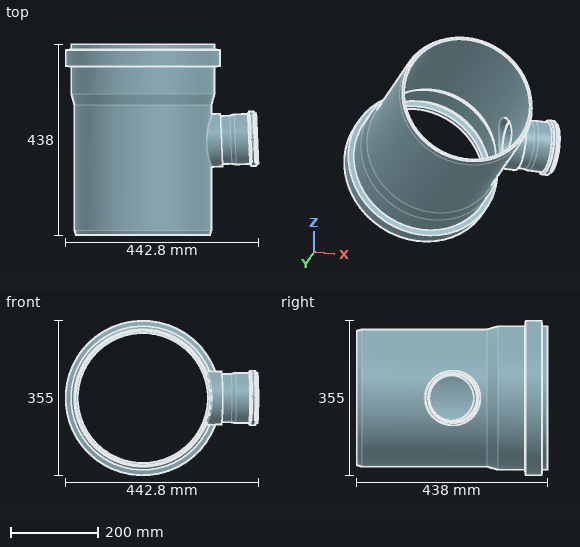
import cadquery as cq

PIPE_LENGTH = 438.0
PIPE_OUTER_R = 315.5 / 2
PIPE_BORE_R = 298.0 / 2
SPIGOT_TIP_R = 154.0
SPIGOT_CHAMFER_LENGTH = 11.5
TAPER_START = 298.5
TAPER_END = 324.3
SOCKET_OUTER_R = 329.5 / 2
SOCKET_BORE_R = 316.0 / 2
BEAD_OUTER_R = 355.0 / 2
BEAD_GROOVE_R = 341 / 2
BEAD_START = 386.0
BEAD_END = 426.0
BEAD_WALL = 4.5
BEAD_SLOPE = 1.8

BRANCH_TILT = 2.5
BRANCH_Y = 210.0
SADDLE_FILLET = 1.8
COLLAR_R = 122.0 / 2
NECK_R = 111.0 / 2
BRANCH_BORE_R = 103.5 / 2
BRANCH_SOCKET_R = 115.5 / 2
BRANCH_SOCKET_BORE_R = 110.0 / 2
BRANCH_BEAD_R = 126.0 / 2
BRANCH_GROOVE_R = 121.0 / 2

COLLAR_END = 180.7
BRANCH_TAPER_START = 201.5
BRANCH_TAPER_END = 211.5
BRANCH_BEAD_START = 243.0
BRANCH_BEAD_END = 260.5
BRANCH_END = 263.0
PLUG_START = 159.5
BRANCH_BEAD_WALL = 2.0
BRANCH_BEAD_SLOPE = 3.0


def revolve_y(points):
    """Solid of revolution about Y from (radius, Y) points."""
    return cq.Workplane("XY").polyline(points).close().revolve(360, (0, 0), (0, 1))


def place_on_branch(shape):
    """Turn a shape built along Y onto the tilted branch axis."""
    turned = shape.rotate((0, 0, 0), (0, 0, 1), BRANCH_TILT - 90)
    return turned.translate((0, BRANCH_Y, 0))


def bead(radius, base_radius, start, end, slope):
    """Profile points of a raised bead with sloping flanks."""
    return [
        (base_radius, start),
        (radius, start + slope),
        (radius, end - slope),
        (base_radius, end),
    ]


def pipe_outside():
    return revolve_y([
        (0, 0),
        (SPIGOT_TIP_R, 0),
        (PIPE_OUTER_R, SPIGOT_CHAMFER_LENGTH),
        (PIPE_OUTER_R, TAPER_START),
        (SOCKET_OUTER_R, TAPER_END),
        *bead(BEAD_OUTER_R, SOCKET_OUTER_R, BEAD_START, BEAD_END, BEAD_SLOPE),
        (SOCKET_OUTER_R, PIPE_LENGTH),
        (0, PIPE_LENGTH),
    ])


def pipe_inside():
    return revolve_y([
        (0, 0),
        (PIPE_BORE_R, 0),
        (PIPE_BORE_R, TAPER_START),
        (SOCKET_BORE_R, TAPER_END),
        *bead(BEAD_GROOVE_R, SOCKET_BORE_R, BEAD_START + BEAD_WALL, BEAD_END - BEAD_WALL, BEAD_SLOPE),
        (SOCKET_BORE_R, PIPE_LENGTH),
        (0, PIPE_LENGTH),
    ])


def branch_outside():
    return place_on_branch(revolve_y([
        (0, PLUG_START),
        (NECK_R, PLUG_START),
        (NECK_R, BRANCH_TAPER_START),
        (BRANCH_SOCKET_R, BRANCH_TAPER_END),
        *bead(BRANCH_BEAD_R, BRANCH_SOCKET_R, BRANCH_BEAD_START, BRANCH_BEAD_END, BRANCH_BEAD_SLOPE),
        (BRANCH_SOCKET_R, BRANCH_END),
        (0, BRANCH_END),
    ]))


def branch_inside():
    return place_on_branch(revolve_y([
        (0, 0),
        (BRANCH_BORE_R, 0),
        (BRANCH_BORE_R, BRANCH_TAPER_START),
        (BRANCH_SOCKET_BORE_R, BRANCH_TAPER_END),
        *bead(
            BRANCH_GROOVE_R,
            BRANCH_SOCKET_BORE_R,
            BRANCH_BEAD_START + BRANCH_BEAD_WALL,
            BRANCH_BEAD_END - BRANCH_BEAD_WALL,
            BRANCH_BEAD_SLOPE,
        ),
        (BRANCH_SOCKET_BORE_R, BRANCH_END),
        (0, BRANCH_END),
    ]))


def collar_cylinder(radius):
    """Cylinder on the branch axis that ends level with the collar rim."""
    return place_on_branch(cq.Workplane("XZ").circle(radius).extrude(-COLLAR_END))


def make_main_pipe():
    """Pipe with a socket and a side collar, open into the pipe bore."""
    solid = pipe_outside().union(collar_cylinder(COLLAR_R))
    opened = solid.cut(pipe_inside()).cut(collar_cylinder(NECK_R))
    return opened.edges("%BSPLINE").fillet(SADDLE_FILLET)


def make_branch():
    """Branch socket whose neck plugs into the collar."""
    return branch_outside().cut(branch_inside())


main_pipe = make_main_pipe()
branch = make_branch()

result = cq.Compound.makeCompound([main_pipe.val(), branch.val()])